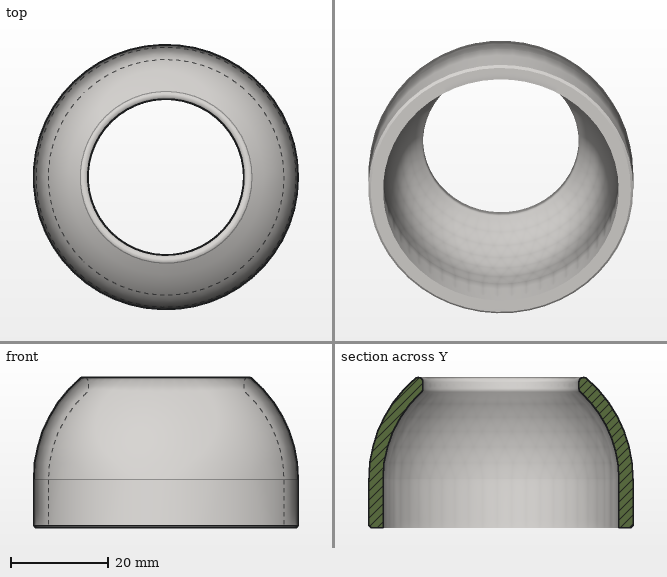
import cadquery as cq
import math

outer_radius = 27.2
inner_radius = 24.2
opening_radius = 16.0
total_height = 30.95
skirt_height = 10.0
bottom_chamfer = 0.5

dome_height = total_height - skirt_height


def polar_point(center, radius, angle):
    """Point on a circle in the section plane, as (distance from axis, height)."""
    return (center[0] + radius * math.cos(angle), center[1] + radius * math.sin(angle))


dome_center = (0, skirt_height)

half_linear_term = opening_radius - dome_height + outer_radius
constant_term = opening_radius**2 + dome_height**2 - outer_radius**2
rim_round = math.sqrt(half_linear_term**2 - constant_term) - half_linear_term
rim_center = (opening_radius + rim_round, total_height - rim_round)
rim_angle = math.atan2(dome_height - rim_round, rim_center[0])
rim_outer_end = polar_point(dome_center, outer_radius, rim_angle)
rim_top = (rim_center[0], total_height)
rim_inner_end = (opening_radius, rim_center[1])

lip_angle = math.acos((opening_radius + rim_round) / (inner_radius + rim_round))
lip_center = polar_point(dome_center, inner_radius + rim_round, lip_angle)
lip_top = (opening_radius, lip_center[1])
lip_middle = polar_point(lip_center, rim_round, math.pi + lip_angle / 2)
lip_bottom = polar_point(dome_center, inner_radius, lip_angle)

wall = (
    cq.Workplane("XZ")
    .moveTo(inner_radius, 0)
    .lineTo(outer_radius - bottom_chamfer, 0)
    .lineTo(outer_radius, bottom_chamfer)
    .lineTo(outer_radius, skirt_height)
    .threePointArc(polar_point(dome_center, outer_radius, rim_angle / 2), rim_outer_end)
    .threePointArc(rim_top, rim_inner_end)
    .lineTo(*lip_top)
    .threePointArc(lip_middle, lip_bottom)
    .threePointArc(polar_point(dome_center, inner_radius, lip_angle / 2), (inner_radius, skirt_height))
    .close()
)
result = wall.revolve(360, (0, 0, 0), (0, 1, 0))